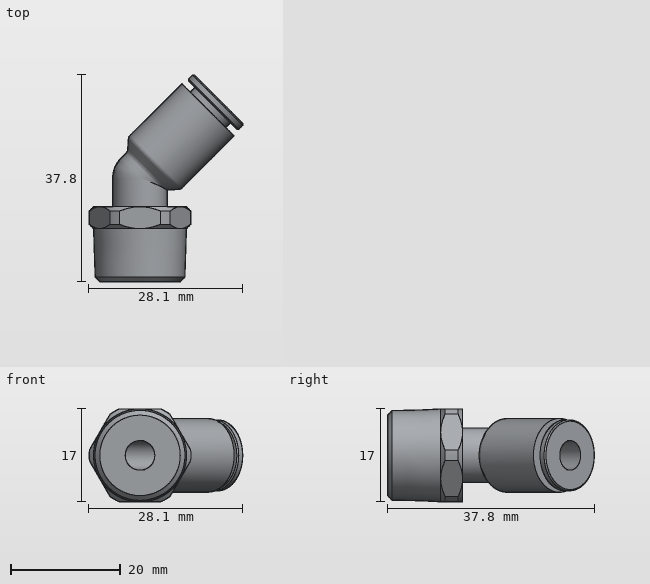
import cadquery as cq
import math

BEND_ANGLE = 45.0

THREAD_LENGTH = 9.7
GAUGE_HEIGHT = 4.45
GAUGE_RADIUS = 8.33
RADIUS_TAPER = 1 / 32
THREAD_TIP_RADIUS = 7.35
THREAD_CHAMFER_LENGTH = 0.85

HEX_ACROSS_FLATS = 17.0
HEX_THICKNESS = 4.0
HEX_RIM_RADIUS = 9.3
HEX_CHAMFER = HEX_RIM_RADIUS - HEX_ACROSS_FLATS / 2

ELBOW_RADIUS = 5.0
ELBOW_HEIGHT = 19.0
BORE_RADIUS = 2.7

BODY_RADIUS = 6.75
CONE_START = 1.75
CONE_END = 3.75
CONE_ROOT_FILLET = 0.8
CONE_EDGE_FILLET = 0.75
BODY_END = 17.55

COLLAR_NECK_RADIUS = 4.6
COLLAR_RADIUS = 6.5
COLLAR_START = 18.75
COLLAR_END = 20.3
COLLAR_CHAMFER = 0.25


def revolve_about_y(outline):
    """Turn a list of (radius, height) points into a solid around the Y axis."""
    profile = cq.Workplane("XY").polyline(outline).close()
    return profile.revolve(360, (0, 0, 0), (0, 1, 0))


def cylinder(radius, start, end):
    """Cylinder on the Y axis between two heights."""
    return cq.Workplane("XZ", origin=(0, start, 0)).circle(radius).extrude(start - end)


def turn_to_leg(solid):
    """Move a solid built on the Y axis onto the tube leg axis."""
    tilted = solid.rotate((0, 0, 0), (0, 0, 1), -BEND_ANGLE)
    return tilted.translate((0, ELBOW_HEIGHT, 0))


def thread_radius(height):
    """Radius of the thread cone at a height above the tip face."""
    return GAUGE_RADIUS + (height - GAUGE_HEIGHT) * RADIUS_TAPER


def make_thread():
    """Tapered plug with a chamfered tip."""
    return revolve_about_y([
        (0, 0),
        (THREAD_TIP_RADIUS, 0),
        (thread_radius(THREAD_CHAMFER_LENGTH), THREAD_CHAMFER_LENGTH),
        (thread_radius(THREAD_LENGTH), THREAD_LENGTH),
        (0, THREAD_LENGTH),
    ])


def make_hexagon():
    """Hexagon with corners on X, its corners turned down and chamfered on both faces."""
    across_corners = HEX_ACROSS_FLATS / math.cos(math.pi / 6)
    base = cq.Workplane("XZ", origin=(0, THREAD_LENGTH, 0))
    prism = base.polygon(6, across_corners).extrude(-HEX_THICKNESS)
    turned_blank = cylinder(HEX_RIM_RADIUS, THREAD_LENGTH, THREAD_LENGTH + HEX_THICKNESS)
    return prism.intersect(turned_blank.edges("%CIRCLE").chamfer(HEX_CHAMFER))


def make_bend():
    """Ball sector that fills the outside of the bend between neck and tube leg."""
    end_plane = cq.Workplane("XZ", origin=(0, ELBOW_HEIGHT, 0))
    half_disc = end_plane.moveTo(0, ELBOW_RADIUS)
    half_disc = half_disc.threePointArc((-ELBOW_RADIUS, 0), (0, -ELBOW_RADIUS)).close()
    return half_disc.revolve(BEND_ANGLE, (0, 0, 0), (0, -1, 0))


def make_elbow():
    """Neck above the hexagon with the rounded outside of the bend."""
    neck = cylinder(ELBOW_RADIUS, THREAD_LENGTH, ELBOW_HEIGHT)
    return neck.union(make_bend())


def make_body():
    """Tube leg: narrow root, filleted cone and cylindrical body."""
    body = revolve_about_y([
        (0, 0),
        (ELBOW_RADIUS, 0),
        (ELBOW_RADIUS, CONE_START),
        (BODY_RADIUS, CONE_END),
        (BODY_RADIUS, BODY_END),
        (0, BODY_END),
    ])
    circles = body.edges("%CIRCLE")
    root_edge = circles.filter(lambda edge: math.isclose(edge.Center().y, CONE_START))
    body = root_edge.fillet(CONE_ROOT_FILLET)
    circles = body.edges("%CIRCLE")
    outer_edge = circles.filter(lambda edge: math.isclose(edge.Center().y, CONE_END))
    return outer_edge.fillet(CONE_EDGE_FILLET)


def make_collar():
    """Release collar: a narrow neck behind a chamfered flange."""
    neck = cylinder(COLLAR_NECK_RADIUS, BODY_END, COLLAR_START)
    flange = cylinder(COLLAR_RADIUS, COLLAR_START, COLLAR_END)
    return neck.union(flange.edges("%CIRCLE").chamfer(COLLAR_CHAMFER))


def make_passage():
    """Through bore of constant size, mitred at the bend."""
    bend = math.radians(BEND_ANGLE)
    leg_direction = cq.Vector(math.sin(bend), math.cos(bend), 0)
    bend_point = cq.Vector(0, ELBOW_HEIGHT, 0)
    outlet_point = bend_point + leg_direction * COLLAR_END
    path = cq.Workplane("XY").polyline([cq.Vector(0, 0, 0), bend_point, outlet_point])
    return cq.Workplane("XZ").circle(BORE_RADIUS).sweep(path, transition="right")


tube_leg = turn_to_leg(make_body().union(make_collar()))
fitting = make_thread().union(make_hexagon()).union(make_elbow()).union(tube_leg)
result = fitting.cut(make_passage())